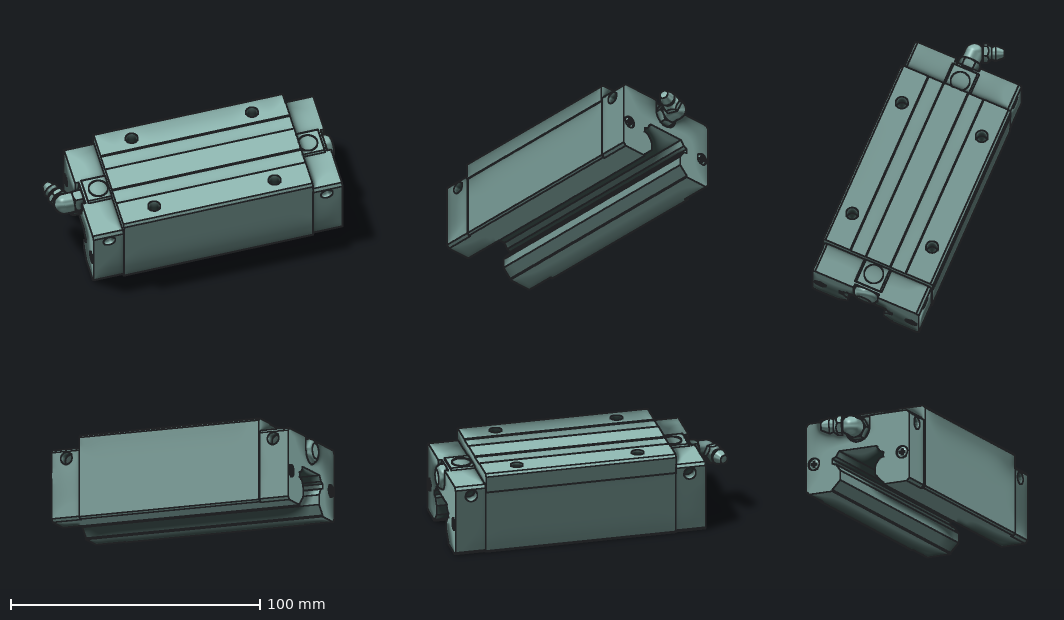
import cadquery as cq
import math


OVERALL_LENGTH = 117.7

BLOCK_LENGTH = 78.6
BLOCK_HALF_WIDTH = 24.0
BLOCK_HEIGHT = 34.5
BLOCK_TOP_CHAMFER = 1.1
BLOCK_BOTTOM_CHAMFER = 0.8
SIDE_RELIEF_HEIGHT = 26.6
SIDE_RELIEF_DEPTH = 0.4

BAND_INNER = 5.2
BAND_OUTER = 12.2
BAND_DEPTH = 0.4

MOUNT_SPACING_X = 35.0
MOUNT_SPACING_Y = 50.0
MOUNT_RADIUS = 2.5
MOUNT_DEPTH = 9.4
DRILL_POINT_ANGLE = 118.0

CAP_END = 51.8
CAP_HALF_WIDTH = 23.3
CAP_HEIGHT = 29.5
CAP_CHAMFER = 1.2
PLATE_THICKNESS = 2.6
PAD_RISE = 0.7
PAD_TOP_HALF_WIDTH = 5.2
PAD_BASE_HALF_WIDTH = 5.9
PAD_PORT_RADIUS = 3.9
PAD_PORT_Y = 43.5
PAD_PORT_DEPTH = 0.4
SIDE_PORT_RADIUS = 2.5
SIDE_PORT_Y = 45.2
SIDE_PORT_Z = 25.5
SIDE_PORT_DEPTH = 4.7

PORT_Z = 24.5
POCKET_RADIUS = 5.3
POCKET_DEPTH = 1.5
POCKET_FLOOR = CAP_END - POCKET_DEPTH

PLUG_RADIUS = 5.2
PLUG_RIM = 0.5
PLUG_TIP_RADIUS = 3.2
PLUG_END = 53.7

SCREW_X = 19.9
SCREW_Z = 12.4
SCREW_RADIUS = 2.5
SCREW_RECESS = 0.7
CROSS_LENGTH = 2.4
CROSS_WIDTH = 0.6
CROSS_DEPTH = 0.5

ELBOW_RADIUS = 4.0
ELBOW_HEX_END = 54.1
ELBOW_CENTRE = 57.8
HEX_BEVEL = 0.6
NIPPLE_ANGLE = 22.5
FITTING_REACH = OVERALL_LENGTH - PLUG_END
NIPPLE_HEX_APOTHEM = 3.5
NIPPLE_HEX_START = 3.5
NIPPLE_HEX_END = 5.2
NIPPLE_NECK_RADIUS = 2.5
NIPPLE_NECK_END = 7.0
NIPPLE_BULGE_RADIUS = 3.2
NIPPLE_BULGE = 8.6
NIPPLE_TIP_RADIUS = 1.8

CHANNEL_HALF = [
    (11.5, 0.0),
    (11.5, 0.6),
    (7.9, 4.2),
    (7.9, 8.2),
    (9.8, 11.0),
    (11.5, 11.5),
    (11.5, 13.4),
    (9.9, 14.1),
    (8.4, 16.4),
]


def mirrored(half):
    return half + [(-x, z) for x, z in reversed(half)]


def prism_along_y(points, y_start, y_end):
    return cq.Workplane("XZ", origin=(0, y_start, 0)).polyline(points).close().extrude(y_start - y_end)


def cylinder_on_end(x, z, radius, y_start, y_end):
    return cq.Workplane("XZ", origin=(x, y_start, z)).circle(radius).extrude(y_start - y_end)


def hexagon_diameter(apothem):
    return 2 * apothem / math.cos(math.pi / 6)


def make_block():
    outline = mirrored([
        (BLOCK_HALF_WIDTH - BLOCK_BOTTOM_CHAMFER, 0),
        (BLOCK_HALF_WIDTH, BLOCK_BOTTOM_CHAMFER),
        (BLOCK_HALF_WIDTH, BLOCK_HEIGHT - BLOCK_TOP_CHAMFER),
        (BLOCK_HALF_WIDTH - BLOCK_TOP_CHAMFER, BLOCK_HEIGHT),
        (BAND_OUTER, BLOCK_HEIGHT),
        (BAND_OUTER - BAND_DEPTH, BLOCK_HEIGHT - BAND_DEPTH),
        (BAND_INNER + BAND_DEPTH, BLOCK_HEIGHT - BAND_DEPTH),
        (BAND_INNER, BLOCK_HEIGHT),
    ])
    block = prism_along_y(outline, -BLOCK_LENGTH / 2, BLOCK_LENGTH / 2)
    relieved_x = -BLOCK_HALF_WIDTH + SIDE_RELIEF_DEPTH
    relief = prism_along_y(
        [
            (-BLOCK_HALF_WIDTH, SIDE_RELIEF_HEIGHT),
            (relieved_x, SIDE_RELIEF_HEIGHT),
            (relieved_x, BLOCK_BOTTOM_CHAMFER),
            (relieved_x + BLOCK_BOTTOM_CHAMFER, 0),
            (-BLOCK_HALF_WIDTH, 0),
        ],
        -BLOCK_LENGTH / 2,
        BLOCK_LENGTH / 2,
    )
    return block.cut(relief)


def make_mounting_hole():
    point_depth = MOUNT_RADIUS / math.tan(math.radians(DRILL_POINT_ANGLE / 2))
    return (
        cq.Workplane("XZ")
        .polyline([
            (0, BLOCK_HEIGHT),
            (MOUNT_RADIUS, BLOCK_HEIGHT),
            (MOUNT_RADIUS, BLOCK_HEIGHT - MOUNT_DEPTH),
            (0, BLOCK_HEIGHT - MOUNT_DEPTH - point_depth),
        ])
        .close()
        .revolve(360, (0, 0, 0), (0, 1, 0))
    )


def make_end_screw():
    """Domed cross-slotted head in the +Y end, with its crown flush with the end face."""
    head = (
        cq.Workplane("XY")
        .moveTo(0, CAP_END)
        .threePointArc(
            (SCREW_RADIUS / 2, CAP_END - SCREW_RECESS / 4),
            (SCREW_RADIUS, CAP_END - SCREW_RECESS),
        )
        .lineTo(0, CAP_END - SCREW_RECESS)
        .close()
        .revolve(360, (0, 0, 0), (0, 1, 0))
    )
    slot_y = CAP_END - CROSS_DEPTH / 2
    for size_x, size_z in [(CROSS_LENGTH, CROSS_WIDTH), (CROSS_WIDTH, CROSS_LENGTH)]:
        head = head.cut(cq.Workplane("XY").box(size_x, CROSS_DEPTH, size_z).translate((0, slot_y, 0)))
    return head


def make_end_cap():
    """End cap on the +Y end, including its seal plate."""
    cap_start = BLOCK_LENGTH / 2
    outline = mirrored([
        (CAP_HALF_WIDTH - CAP_CHAMFER, 0),
        (CAP_HALF_WIDTH, CAP_CHAMFER),
        (CAP_HALF_WIDTH, CAP_HEIGHT - CAP_CHAMFER),
        (CAP_HALF_WIDTH - CAP_CHAMFER, CAP_HEIGHT),
    ])
    cap = prism_along_y(outline, cap_start, CAP_END)

    pad_top = CAP_HEIGHT + PAD_RISE
    pad_outline = mirrored([(PAD_BASE_HALF_WIDTH, CAP_HEIGHT), (PAD_TOP_HALF_WIDTH, pad_top)])
    cap = cap.union(prism_along_y(pad_outline, cap_start, CAP_END - PLATE_THICKNESS))
    cap = cap.cut(
        cq.Workplane("XY", origin=(0, PAD_PORT_Y, pad_top)).circle(PAD_PORT_RADIUS).extrude(-PAD_PORT_DEPTH)
    )

    for side in (-1, 1):
        side_port = (
            cq.Workplane("YZ", origin=(side * CAP_HALF_WIDTH, SIDE_PORT_Y, SIDE_PORT_Z))
            .circle(SIDE_PORT_RADIUS)
            .extrude(-side * SIDE_PORT_DEPTH)
        )
        cap = cap.cut(side_port)
        screw_x = side * SCREW_X
        cap = cap.cut(cylinder_on_end(screw_x, SCREW_Z, SCREW_RADIUS, CAP_END - SCREW_RECESS, CAP_END))
        cap = cap.union(make_end_screw().translate((screw_x, 0, SCREW_Z)))

    pocket = (
        cq.Workplane("XZ", origin=(0, POCKET_FLOOR, 0))
        .moveTo(POCKET_RADIUS, CAP_HEIGHT)
        .lineTo(POCKET_RADIUS, PORT_Z)
        .threePointArc((0, PORT_Z - POCKET_RADIUS), (-POCKET_RADIUS, PORT_Z))
        .lineTo(-POCKET_RADIUS, CAP_HEIGHT)
        .close()
        .extrude(-POCKET_DEPTH)
    )
    return cap.cut(pocket)


def make_plug():
    rim_end = POCKET_FLOOR + PLUG_RIM
    arc_fraction = math.sqrt(0.5)
    arc_middle = (
        PLUG_TIP_RADIUS + (PLUG_RADIUS - PLUG_TIP_RADIUS) * arc_fraction,
        rim_end + (PLUG_END - rim_end) * arc_fraction,
    )
    return (
        cq.Workplane("XY")
        .moveTo(0, POCKET_FLOOR)
        .lineTo(PLUG_RADIUS, POCKET_FLOOR)
        .lineTo(PLUG_RADIUS, rim_end)
        .threePointArc(arc_middle, (PLUG_TIP_RADIUS, PLUG_END))
        .lineTo(0, PLUG_END)
        .close()
        .revolve(360, (0, 0, 0), (0, 1, 0))
        .translate((0, 0, PORT_Z))
    )


def make_nipple():
    """Nipple along -Y from the elbow centre at the origin, before it is turned to its angle."""
    angle = math.radians(NIPPLE_ANGLE)
    side_reach = NIPPLE_TIP_RADIUS * math.cos(angle)
    tip = (FITTING_REACH - ELBOW_CENTRE - side_reach) / math.sin(angle)
    stem = (
        cq.Workplane("XY")
        .polyline([
            (0, 0),
            (NIPPLE_NECK_RADIUS, 0),
            (NIPPLE_NECK_RADIUS, -NIPPLE_NECK_END),
            (NIPPLE_BULGE_RADIUS, -NIPPLE_BULGE),
            (NIPPLE_TIP_RADIUS, -tip),
            (0, -tip),
        ])
        .close()
        .revolve(360, (0, 0, 0), (0, 1, 0))
    )
    hex_diameter = hexagon_diameter(NIPPLE_HEX_APOTHEM)
    nut = (
        cq.Workplane("XZ", origin=(0, -NIPPLE_HEX_START, 0))
        .polygon(6, hex_diameter)
        .extrude(NIPPLE_NECK_END - NIPPLE_HEX_START)
    )
    nut_envelope = (
        cq.Workplane("XY")
        .polyline([
            (0, -NIPPLE_HEX_START),
            (hex_diameter / 2, -NIPPLE_HEX_START),
            (hex_diameter / 2, -NIPPLE_HEX_END),
            (NIPPLE_NECK_RADIUS, -NIPPLE_NECK_END),
            (0, -NIPPLE_NECK_END),
        ])
        .close()
        .revolve(360, (0, 0, 0), (0, 1, 0))
    )
    return stem.union(nut.intersect(nut_envelope))


def make_fitting():
    """Hexagon base, round elbow and angled nipple pointing towards -X and -Y."""
    hex_diameter = hexagon_diameter(ELBOW_RADIUS)
    hexagon = (
        cq.Workplane("XZ", origin=(0, -POCKET_FLOOR, 0))
        .polygon(6, hex_diameter)
        .extrude(ELBOW_HEX_END - POCKET_FLOOR)
    )
    envelope = cylinder_on_end(0, 0, hex_diameter / 2, -POCKET_FLOOR, -ELBOW_HEX_END)
    envelope = envelope.faces("<Y").chamfer(HEX_BEVEL)
    elbow = cylinder_on_end(0, 0, ELBOW_RADIUS, -POCKET_FLOOR, -ELBOW_CENTRE)
    knuckle = cq.Workplane("XY").sphere(ELBOW_RADIUS).translate((0, -ELBOW_CENTRE, 0))
    nipple = (
        make_nipple()
        .rotate((0, 0, 0), (0, 0, 1), NIPPLE_ANGLE - 90)
        .translate((0, -ELBOW_CENTRE, 0))
    )
    fitting = hexagon.intersect(envelope).union(elbow).union(knuckle).union(nipple)
    return fitting.translate((0, 0, PORT_Z))


body = make_block()
for x in (-MOUNT_SPACING_X / 2, MOUNT_SPACING_X / 2):
    for y in (-MOUNT_SPACING_Y / 2, MOUNT_SPACING_Y / 2):
        body = body.cut(make_mounting_hole().translate((x, y, 0)))

end_cap = make_end_cap()
body = body.union(end_cap).union(end_cap.mirror("XZ"))
body = body.cut(prism_along_y(mirrored(CHANNEL_HALF), -CAP_END, CAP_END))

result = body.union(make_plug()).union(make_fitting())